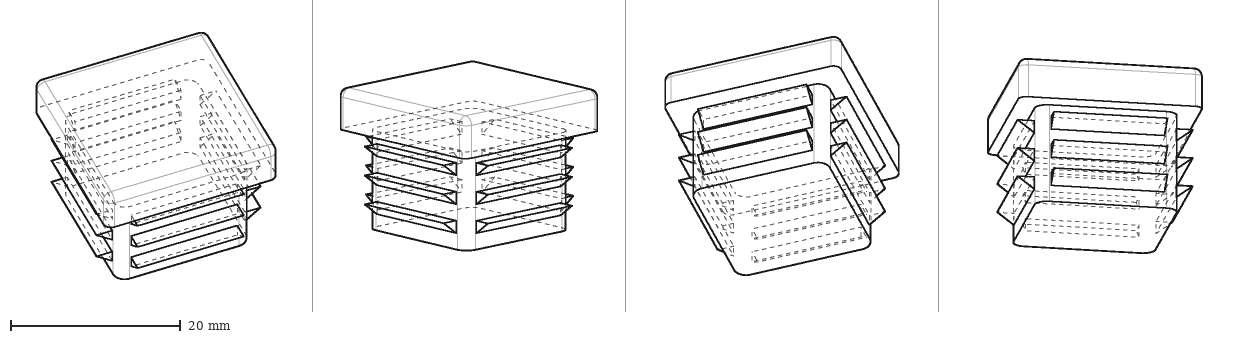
import cadquery as cq

cap_width = 22.0
cap_height = 5.0
cap_round = 1.0

stem_width = 17.0
stem_height = 12.0
stem_corner_radius = 1.5

stem_sides = 4
fin_rows = 3
fin_span = 21.0
fin_length = 13.6
fin_height = 1.5
fin_pitch = 3.5
first_fin_drop = 1.5
fin_embed = 0.5


def make_cap():
    """Square plate with rounded vertical and top edges and a sharp lower rim."""
    plate = cq.Workplane("XY", origin=(0, 0, stem_height)).rect(cap_width, cap_width).extrude(cap_height)
    return plate.edges("|Z or >Z").fillet(cap_round)


def make_stem():
    """Square column with rounded vertical edges."""
    column = cq.Workplane("XY").rect(stem_width, stem_width).extrude(stem_height)
    return column.edges("|Z").fillet(stem_corner_radius)


def make_fin(top_z):
    """Triangular fin on the +X side of the stem, rooted slightly inside it."""
    wall_x = stem_width / 2
    tip_x = fin_span / 2
    root_x = wall_x - fin_embed
    bottom_z = top_z - fin_height
    profile = [
        (root_x, top_z),
        (tip_x, top_z),
        (wall_x, bottom_z),
        (root_x, bottom_z),
    ]
    return cq.Workplane("XZ").polyline(profile).close().extrude(fin_length / 2, both=True)


def add_fins(body):
    """Repeat the fin down the stem and around its sides."""
    side_angle = 360 / stem_sides
    for row in range(fin_rows):
        fin = make_fin(stem_height - first_fin_drop - row * fin_pitch)
        for side in range(stem_sides):
            body = body.union(fin.rotate((0, 0, 0), (0, 0, 1), side * side_angle))
    return body


result = add_fins(make_cap().union(make_stem()))